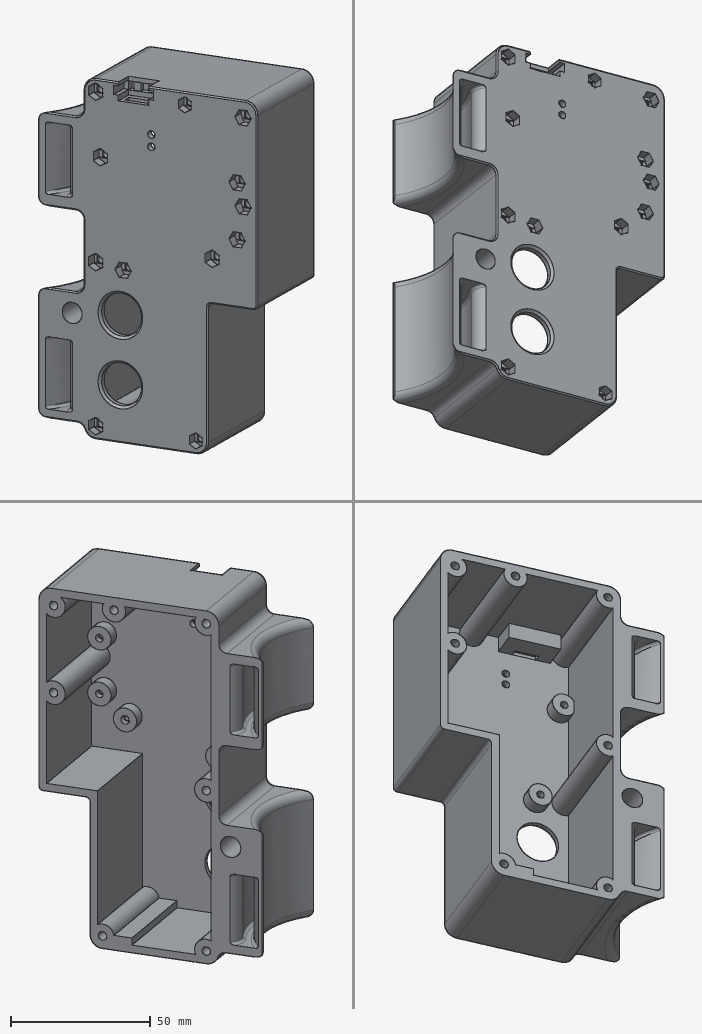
import cadquery as cq
import math

WIDTH = 88.0
DEPTH = 44.7
HEIGHT = 135.0

BODY_LEFT = 18.1
LOWER_RIGHT = 68.2
STEP_Z = 57.1
CORNER_R = 4.9
ARM_R = 3.2
STEP_R = 1.6
UPPER_ARM = (84.6, 119.9)
LOWER_ARM = (5.3, 54.1)
FRONT_CHAMFER = 0.5

CUP_R = 33.0
CUP_Y = DEPTH / 2
CUP_X = -math.sqrt(CUP_R**2 - CUP_Y**2)
BACK_TIP_X = 1.2
BACK_TIP_LENGTH = 2.0

CUP_WALL = 2.0
CHANNEL_OUTER_R = 39.0
CHANNEL_NOSE_X = 11.2
CHANNEL_NOSE_R = 5.8
CHANNEL_HEIGHT = 27.1
CHANNEL_BOTTOMS = (8.6, 89.1)
CHANNEL_FILLET = 1.1

WALL = 3.0
PANEL = 3.0
POST_R = 9.0 / 2
STANDOFF_LENGTH = 8.1
PAD_LEFT = 51.8
PAD_HEIGHT = 2.7

BUTTON_X = 33.0
BUTTON_ZS = (21.7, 47.8)
BUTTON_D = 16.0
BUTTON_CHAMFER = 1.0
CORD_HOLE = (13.5, 46.0)
CORD_D = 8.0
LED_HOLES = ((45.4, 112.6), (45.4, 117.2))
LED_D = 2.8

NUT_DEPTH = 4.0
BRIDGE_STEP = 0.4
SMALL_NUT = 6.0
LARGE_NUT = 6.5
CASE_SCREW_D = 3.2
BOARD_SCREW_D = 2.8
LEFT_SCREW_X = BODY_LEFT + CORNER_R
TOP_SCREW_Z = HEIGHT - CORNER_R
RIGHT_SCREW_X = 82.4
BOARD_SCREW_X = 79.9
SCREWS = (
    (LEFT_SCREW_X, TOP_SCREW_Z, LARGE_NUT, CASE_SCREW_D, True, True),
    (58.9, TOP_SCREW_Z, SMALL_NUT, CASE_SCREW_D, True, True),
    (LEFT_SCREW_X, 66.3, LARGE_NUT, CASE_SCREW_D, True, True),
    (LEFT_SCREW_X, CORNER_R, LARGE_NUT, CASE_SCREW_D, True, True),
    (LOWER_RIGHT - CORNER_R, CORNER_R, SMALL_NUT, CASE_SCREW_D, True, True),
    (RIGHT_SCREW_X, 128.5, LARGE_NUT, CASE_SCREW_D, False, True),
    (RIGHT_SCREW_X, 95.2, LARGE_NUT, CASE_SCREW_D, False, True),
    (69.9, 74.0, LARGE_NUT, CASE_SCREW_D, True, False),
    (24.8, 105.8, LARGE_NUT, BOARD_SCREW_D, True, False),
    (BOARD_SCREW_X, 103.8, LARGE_NUT, BOARD_SCREW_D, False, False),
    (BOARD_SCREW_X, 82.5, LARGE_NUT, BOARD_SCREW_D, False, False),
    (34.0, 64.8, LARGE_NUT, BOARD_SCREW_D, False, False),
)

USB_X = 38.2
USB_WIDTH = 12.3
USB_DEPTH = 8.2
USB_FLOOR_Z = 128.0
FLANGE_WIDTH = 16.0
FLANGE_Z = (130.1, 133.6)
PLUG_WIDTH = 9.2
PLUG_Y = (2.2, 5.5)
HOUSING_WALL = 2.0
WINDOW_DEPTH = 2.7
RIB_SETBACK = 0.7
WINDOW_Z = (129.9, 133.2)
RIBS_X = ((33.9, 36.7), (39.8, 43.0))


def block(x_range, y_range, z_range):
    """Box filling the given (low, high) ranges."""
    size = [high - low for low, high in (x_range, y_range, z_range)]
    corner = (x_range[0], y_range[0], z_range[0])
    return cq.Workplane("XY").box(*size, centered=False).translate(corner)


def centred(middle, width):
    """(low, high) range of the given width about a middle value."""
    return (middle - width / 2, middle + width / 2)


def front_plane(x, z):
    """Sketch plane on the front panel at (x, z) whose normal points into the part (+Y)."""
    return cq.Workplane(cq.Plane(origin=(x, 0, z), xDir=(-1, 0, 0), normal=(0, 1, 0)))


def fillet_edges(solid, points, radius):
    """Round the Y-direction edges that pass through the given XZ points."""
    for x, z in points:
        edge = cq.selectors.NearestToPointSelector((x, DEPTH / 2, z))
        solid = solid.edges("|Y").edges(edge).fillet(radius)
    return solid


def make_body():
    """Extruded outline; the arm ends stay square until the cup is cut."""
    depth = (0, DEPTH)
    body = block((BODY_LEFT, WIDTH), depth, (STEP_Z, HEIGHT))
    body = body.union(block((BODY_LEFT, LOWER_RIGHT), depth, (0, HEIGHT)))
    round_corners = ((BODY_LEFT, 0), (BODY_LEFT, HEIGHT), (WIDTH, HEIGHT), (LOWER_RIGHT, 0))
    body = fillet_edges(body, round_corners, CORNER_R)
    body = fillet_edges(body, ((WIDTH, STEP_Z), (LOWER_RIGHT, STEP_Z)), STEP_R)

    for low, high in (UPPER_ARM, LOWER_ARM):
        body = body.union(block((0, LEFT_SCREW_X), depth, (low, high)))
    inner_corners = ((BODY_LEFT, UPPER_ARM[1]), (BODY_LEFT, UPPER_ARM[0]), (BODY_LEFT, LOWER_ARM[1]))
    body = fillet_edges(body, inner_corners, ARM_R)
    body = body.union(make_lower_blend())

    rim = body.faces("<Y").edges().filter(lambda edge: edge.Center().x > ARM_R)
    return rim.chamfer(FRONT_CHAMFER)


def make_lower_blend():
    """Fill between the lower arm and the round body corner, with an arc tangent to both."""
    blend_z = LOWER_ARM[0] - ARM_R
    reach = CORNER_R + ARM_R
    blend_x = LEFT_SCREW_X - math.sqrt(reach**2 - (CORNER_R - blend_z) ** 2)
    share = ARM_R / reach
    touch = (blend_x + share * (LEFT_SCREW_X - blend_x), blend_z + share * (CORNER_R - blend_z))
    half_angle = (math.pi / 2 + math.atan2(touch[1] - blend_z, touch[0] - blend_x)) / 2
    middle = (blend_x + ARM_R * math.cos(half_angle), blend_z + ARM_R * math.sin(half_angle))
    return (
        cq.Workplane("XZ")
        .moveTo(blend_x, LOWER_ARM[0])
        .threePointArc(middle, touch)
        .lineTo(LEFT_SCREW_X, touch[1])
        .lineTo(LEFT_SCREW_X, LOWER_ARM[0])
        .close()
        .extrude(-DEPTH)
    )


def make_cup(low, high):
    """Cylindrical cutter that flares at both ends, leaving rounded arm edges."""
    flare = ARM_R * (1 - math.sqrt(0.5))
    profile = (
        cq.Workplane("XZ")
        .moveTo(0, low)
        .lineTo(CUP_R + ARM_R, low)
        .threePointArc((CUP_R + flare, low + flare), (CUP_R, low + ARM_R))
        .lineTo(CUP_R, high - ARM_R)
        .threePointArc((CUP_R + flare, high - flare), (CUP_R + ARM_R, high))
        .lineTo(0, high)
        .close()
    )
    return profile.revolve(360, (0, 0, 0), (0, 1, 0)).translate((CUP_X, CUP_Y, 0))


def make_channel(bottom):
    """Strap channel bent round the cup, flaring over a rounded nose at the front and back."""
    inner_r = CUP_R + CUP_WALL
    inner_x = CUP_X + math.sqrt(inner_r**2 - CUP_Y**2)

    nose_x = CHANNEL_NOSE_X + CHANNEL_NOSE_R
    nose_angle = math.acos((nose_x - CUP_X) / (CHANNEL_OUTER_R + CHANNEL_NOSE_R))
    nose_y = CUP_Y - (CHANNEL_OUTER_R + CHANNEL_NOSE_R) * math.sin(nose_angle)
    touch_x = CUP_X + CHANNEL_OUTER_R * math.cos(nose_angle)
    touch_y = CUP_Y - CHANNEL_OUTER_R * math.sin(nose_angle)
    mouth_x = nose_x - math.sqrt(CHANNEL_NOSE_R**2 - nose_y**2)

    profile = (
        cq.Workplane("XY")
        .moveTo(inner_x, 0)
        .lineTo(mouth_x, 0)
        .threePointArc((CHANNEL_NOSE_X, nose_y), (touch_x, touch_y))
        .threePointArc((CUP_X + CHANNEL_OUTER_R, CUP_Y), (touch_x, DEPTH - touch_y))
        .threePointArc((CHANNEL_NOSE_X, DEPTH - nose_y), (mouth_x, DEPTH))
        .lineTo(inner_x, DEPTH)
        .threePointArc((CUP_X + inner_r, CUP_Y), (inner_x, 0))
        .close()
    )
    channel = profile.extrude(CHANNEL_HEIGHT)
    long_edges = channel.faces("<Z or >Z").edges("not(<Y or >Y)")
    return long_edges.fillet(CHANNEL_FILLET).translate((0, 0, bottom))


def make_cavity():
    """Interior of the main body, open at the back."""
    inside = (PANEL, DEPTH)
    left = BODY_LEFT + WALL
    cavity = block((left, WIDTH - WALL), inside, (STEP_Z + WALL, HEIGHT - WALL))
    cavity = cavity.union(block((left, LOWER_RIGHT - WALL), inside, (WALL, HEIGHT - WALL)))
    return cavity.cut(block((PAD_LEFT, LOWER_RIGHT), inside, (WALL, WALL + PAD_HEIGHT)))


def make_post(x, z, full_length):
    """Round post behind a screw hole, reaching the back or ending as a short standoff."""
    length = DEPTH if full_length else STANDOFF_LENGTH
    return front_plane(x, z).circle(POST_R).extrude(length)


def make_screw_hole(x, z, nut, screw, point_up):
    """Nut pocket, two bridging steps and the screw hole."""
    turn = 30 if point_up else 0
    slot_end = NUT_DEPTH + BRIDGE_STEP
    nut_plane = front_plane(x, z).transformed(rotate=(0, 0, turn))
    pocket = nut_plane.polygon(6, nut).extrude(NUT_DEPTH)
    hexagon = nut_plane.polygon(6, nut).extrude(slot_end)
    slot = front_plane(x, z).rect(nut, screw).extrude(slot_end)
    square = front_plane(x, z).rect(screw, screw).extrude(slot_end + BRIDGE_STEP)
    hole = front_plane(x, z).circle(screw / 2).extrude(DEPTH)
    return pocket.union(slot.intersect(hexagon)).union(square).union(hole)


def make_button_hole(z):
    """Panel hole for a push button, chamfered at the front."""
    hole = front_plane(BUTTON_X, z).circle(BUTTON_D / 2).extrude(PANEL)
    outer_r = BUTTON_D / 2 + BUTTON_CHAMFER
    centre = cq.Vector(BUTTON_X, 0, z)
    cone = cq.Solid.makeCone(outer_r, BUTTON_D / 2, BUTTON_CHAMFER, centre, cq.Vector(0, 1, 0))
    return hole.union(cq.Workplane(cone))


def make_usb_recess():
    """Recess in the top edge with side grooves, a plug opening and a ribbed window at the back."""
    recess = block(centred(USB_X, USB_WIDTH), (0, USB_DEPTH), (USB_FLOOR_Z, HEIGHT))
    grooves = block(centred(USB_X, FLANGE_WIDTH), (0, USB_DEPTH), FLANGE_Z)
    plug = block(centred(USB_X, PLUG_WIDTH), PLUG_Y, (USB_FLOOR_Z - HOUSING_WALL, USB_FLOOR_Z))
    window = block(centred(USB_X, USB_WIDTH), (USB_DEPTH, USB_DEPTH + WINDOW_DEPTH), WINDOW_Z)
    for rib_x in RIBS_X:
        window = window.cut(block(rib_x, (USB_DEPTH + RIB_SETBACK, USB_DEPTH + WINDOW_DEPTH), WINDOW_Z))
    return recess.union(grooves).union(plug).union(window)


def make_usb_housing():
    """Solid surround that closes the recess off from the cavity."""
    width = FLANGE_WIDTH + 2 * HOUSING_WALL
    back = USB_DEPTH + WINDOW_DEPTH + HOUSING_WALL
    return block(centred(USB_X, width), (PANEL, back), (USB_FLOOR_Z - HOUSING_WALL, HEIGHT - WALL))


body = make_body()
outline = body
for low, high in (UPPER_ARM, LOWER_ARM):
    body = body.cut(make_cup(low, high))
body = body.cut(block((0, BACK_TIP_X), (DEPTH - BACK_TIP_LENGTH, DEPTH), (0, HEIGHT)))
for bottom in CHANNEL_BOTTOMS:
    body = body.cut(make_channel(bottom))

body = body.cut(make_cavity())
for x, z, *_, full_length in SCREWS:
    body = body.union(make_post(x, z, full_length).intersect(outline))
for x, z, nut, screw, point_up, _ in SCREWS:
    body = body.cut(make_screw_hole(x, z, nut, screw, point_up))

for z in BUTTON_ZS:
    body = body.cut(make_button_hole(z))
for x, z in LED_HOLES:
    body = body.cut(front_plane(x, z).circle(LED_D / 2).extrude(PANEL))
body = body.cut(front_plane(*CORD_HOLE).circle(CORD_D / 2).extrude(DEPTH))
body = body.union(make_usb_housing()).cut(make_usb_recess())

result = body